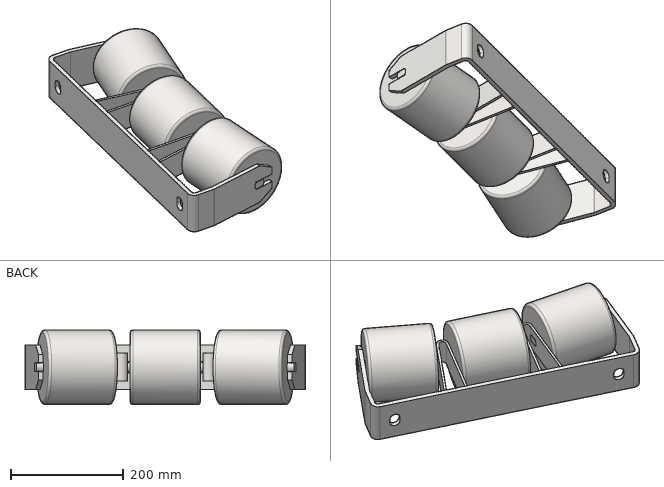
import cadquery as cq
import math


roller_diameter = 133.0
roller_width = 125
roller_edge_radius = 5
middle_roller_y = 125
outer_roller_x = 157.5
outer_roller_y = 140
tilt = 10

axle_diameter = 21.0
axle_flat_width = 14.5
side_gap = 4.5
shoulder_gap = 1.5
plate_offset = roller_width / 2 + side_gap

frame_length = 500
frame_height = 80
strap_thickness = 8.0
corner_radius = 14.0
bend_radius = 9.0
tip_reach = 29.5
tip_width = 46.0
tip_taper_length = 29.0
axle_slot_width = 16.0
mount_slot_x = 208.5
mount_slot_width = 19.0
mount_slot_length = 26.5

support_height = 50
support_thickness = 4.5
support_bend_y = 139.5

half_length = frame_length / 2
arm_outer_offset = plate_offset + strap_thickness
support_far_offset = plate_offset + support_thickness
tilt_sin = math.sin(math.radians(tilt))
tilt_cos = math.cos(math.radians(tilt))


def tilted_point(across, along):
    """XY point of the left roller's frame: across follows its axis inwards, along is square to it."""
    return (
        -outer_roller_x + across * tilt_cos + along * tilt_sin,
        outer_roller_y - across * tilt_sin + along * tilt_cos,
    )


def tilted_point_at_x(across, x):
    """Point at the given X on the line square to the left roller's axis at the given offset."""
    return tilted_point(across, (x + outer_roller_x - across * tilt_cos) / tilt_sin)


def tilted_point_at_y(across, y):
    """Point at the given Y on the line square to the left roller's axis at the given offset."""
    return tilted_point(across, (y - outer_roller_y + across * tilt_sin) / tilt_cos)


def place_left(shape):
    """Move a shape built about the origin to the left roller's position and tilt."""
    return shape.rotate((0, 0, 0), (0, 0, 1), -tilt).translate((-outer_roller_x, outer_roller_y, 0))


def mirrored(shape):
    return shape.mirror("YZ")


def x_bar(start, end, diameter, flat_width):
    """Bar along X, cut down to two flats facing up and down."""
    length = end - start
    bar = cq.Workplane("YZ", origin=(start, 0, 0)).circle(diameter / 2).extrude(length)
    flats = cq.Workplane("XY").box(length, diameter, flat_width).translate((start + length / 2, 0, 0))
    return bar.intersect(flats)


def make_roller(left_end, right_end):
    """Roller about the X axis with its axle, whose flatted ends reach left_end and right_end."""
    roller = (
        cq.Workplane("XY", origin=(0, -roller_diameter / 4, 0))
        .rect(roller_width, roller_diameter / 2)
        .revolve(360, (0, roller_diameter / 4, 0), (1, roller_diameter / 4, 0))
        .edges("%CIRCLE")
        .fillet(roller_edge_radius)
    )
    shoulder_offset = plate_offset - shoulder_gap
    journal = x_bar(-shoulder_offset, shoulder_offset, axle_diameter, axle_diameter)
    ends = x_bar(-left_end, right_end, axle_diameter, axle_flat_width)
    return roller.union(journal).union(ends)


def make_half_strap():
    """Left half of the strap: base, corner and arm, with its mounting slot and tapered, slotted tip."""
    inner_x = -half_length + strap_thickness
    outer_bend = tilted_point_at_x(-arm_outer_offset, -half_length)
    inner_bend = tilted_point_at_x(-plate_offset, inner_x)
    outline = [
        (0, 0),
        (-half_length, 0),
        outer_bend,
        tilted_point(-arm_outer_offset, tip_reach),
        tilted_point(-plate_offset, tip_reach),
        inner_bend,
        (inner_x, strap_thickness),
        (0, strap_thickness),
    ]
    strap = cq.Workplane("XY").polyline(outline).close().extrude(frame_height / 2, both=True)

    rounded_edges = [
        (-half_length, 0, corner_radius),
        (inner_x, strap_thickness, corner_radius - strap_thickness),
        (*outer_bend, bend_radius),
        (*inner_bend, bend_radius - strap_thickness),
    ]
    for x, y, radius in rounded_edges:
        strap = strap.edges(cq.NearestToPointSelector((x, y, 0))).fillet(radius)

    mount_slot = (
        cq.Workplane("XZ", origin=(-mount_slot_x, 0, 0))
        .slot2D(mount_slot_length, mount_slot_width, 90)
        .extrude(-strap_thickness)
    )
    return strap.cut(mount_slot).cut(place_left(make_tip_cuts()))


def make_tip_cuts():
    """Material taken off the arm tip: two tapered corners and the open slot that takes the axle."""
    cuts = x_bar(-arm_outer_offset, -plate_offset, axle_diameter, axle_slot_width)
    open_slot = (
        cq.Workplane("XY")
        .box(strap_thickness, tip_reach, axle_slot_width)
        .translate((-plate_offset - strap_thickness / 2, tip_reach / 2, 0))
    )
    cuts = cuts.union(open_slot)
    for side in (-1, 1):
        corner = (
            cq.Workplane("YZ", origin=(-arm_outer_offset, 0, 0))
            .moveTo(tip_reach, side * tip_width / 2)
            .lineTo(tip_reach, side * frame_height / 2)
            .lineTo(tip_reach - tip_taper_length, side * frame_height / 2)
            .close()
            .extrude(strap_thickness)
        )
        cuts = cuts.union(corner)
    return cuts


def make_left_support():
    """Hairpin plate: an upright leg by the middle roller, a round bend, a tilted leg by the left roller."""
    face_x, face_y = tilted_point(plate_offset, 0)
    reach_x = (-plate_offset - face_x) * tilt_cos
    reach_y = (support_bend_y - face_y) * tilt_sin
    outer_radius = (reach_x - reach_y) / (1 + tilt_cos)
    inner_radius = outer_radius - support_thickness
    centre_x = -plate_offset - outer_radius

    def bend_point(radius, angle):
        turn = math.radians(angle)
        return (centre_x + radius * math.cos(turn), support_bend_y + radius * math.sin(turn))

    tilted_end = 180 - tilt
    bend_top = tilted_end / 2
    return (
        cq.Workplane("XY")
        .moveTo(-plate_offset, strap_thickness)
        .lineTo(*bend_point(outer_radius, 0))
        .threePointArc(bend_point(outer_radius, bend_top), bend_point(outer_radius, tilted_end))
        .lineTo(*tilted_point_at_y(plate_offset, strap_thickness))
        .lineTo(*tilted_point_at_y(support_far_offset, strap_thickness))
        .lineTo(*bend_point(inner_radius, tilted_end))
        .threePointArc(bend_point(inner_radius, bend_top), bend_point(inner_radius, 0))
        .lineTo(-support_far_offset, strap_thickness)
        .close()
        .extrude(support_height / 2, both=True)
    )


def make_frame():
    """Strap, both hairpin supports and the middle roller as one body."""
    axle_hole = place_left(x_bar(plate_offset, support_far_offset, axle_diameter, axle_flat_width))
    left_half = make_half_strap().union(make_left_support().cut(axle_hole))
    middle_roller = make_roller(support_far_offset, support_far_offset).translate((0, middle_roller_y, 0))
    return left_half.union(mirrored(left_half)).union(middle_roller)


frame = make_frame()

outer_rollers = []
for is_right in (False, True):
    outer_roller = place_left(make_roller(arm_outer_offset, support_far_offset))
    if is_right:
        outer_roller = mirrored(outer_roller)
    outer_rollers.append(outer_roller.val())

result = cq.Compound.makeCompound([frame.val(), *outer_rollers])